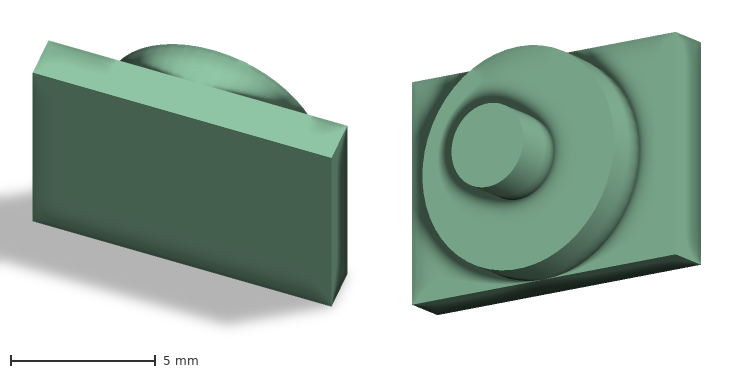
import cadquery as cq

plate_width = 11.0
plate_height = 8.0
total_depth = 5.0
plate_thickness = 1.55
flange_thickness = 1.57
flange_diameter = plate_height
stem_diameter = 3.0

flange_start = plate_thickness
stem_start = flange_start + flange_thickness
stem_length = total_depth - stem_start


def make_cylinder(diameter, start, length):
    """Cylinder along +Y, centred on the plate and starting at the given Y."""
    direction = cq.Vector(0, 1, 0)
    solid = cq.Solid.makeCylinder(diameter / 2, length, cq.Vector(0, start, 0), direction)
    return cq.Workplane(obj=solid)


def make_housing():
    """Rectangular plate with its front face at Y = 0 and a round flange on its back."""
    plate = cq.Workplane().box(
        plate_width, plate_thickness, plate_height, centered=(True, False, True)
    )
    flange = make_cylinder(flange_diameter, flange_start, flange_thickness)
    return plate.union(flange)


def make_stem():
    """Round stem seated on the back face of the flange."""
    return make_cylinder(stem_diameter, stem_start, stem_length)


housing = make_housing()
stem = make_stem()

result = cq.Compound.makeCompound([housing.val(), stem.val()])